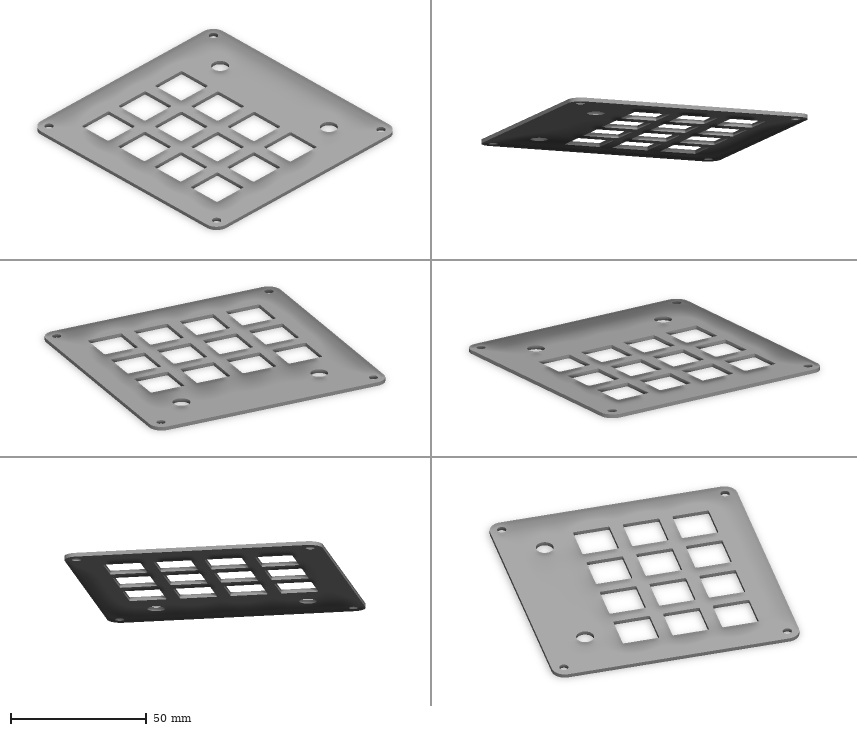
import cadquery as cq

length = 97.0
width = 94.5
thickness = 1.5
corner_radius = 5.0

screw_diameter = 3.4
screw_inset = 4.6

columns = 4
rows = 3
key_pitch = 19.0
key_size = 14.0
key_corner_radius = 0.5
key_grid_y = -8.1

round_diameter = 6.6
round_spacing = (columns - 1) * key_pitch
round_shift_x = 0.7
round_y = 30.3


def make_plate():
    plate = cq.Workplane("XY").box(length, width, thickness)
    return plate.edges("|Z").fillet(corner_radius)


def make_key_cutouts():
    cutouts = (
        cq.Workplane("XY")
        .center(0, key_grid_y)
        .rarray(key_pitch, key_pitch, columns, rows)
        .rect(key_size, key_size)
        .extrude(thickness, both=True)
    )
    return cutouts.edges("|Z").fillet(key_corner_radius)


def drill_screw_holes(plate):
    spacing_x = length - 2 * screw_inset
    spacing_y = width - 2 * screw_inset
    return (
        plate.faces(">Z")
        .workplane(origin=(0, 0, 0))
        .rarray(spacing_x, spacing_y, 2, 2)
        .hole(screw_diameter)
    )


def drill_round_holes(plate):
    centres = [(round_shift_x + side * round_spacing / 2, round_y) for side in (-1, 1)]
    return (
        plate.faces(">Z")
        .workplane(origin=(0, 0, 0))
        .pushPoints(centres)
        .hole(round_diameter)
    )


result = make_plate().cut(make_key_cutouts())
result = drill_screw_holes(result)
result = drill_round_holes(result)